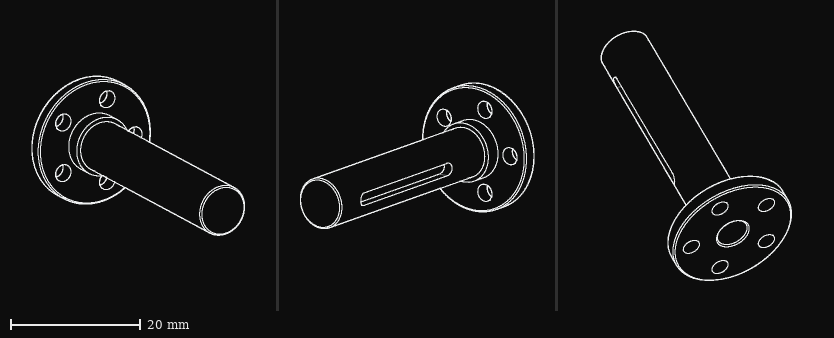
import cadquery as cq

total_length = 42.4

flange_diameter = 20.0
flange_thickness = 2.5
flange_chamfer = 0.25

hub_diameter = 9.4
hub_end = 2 * flange_thickness
shaft_diameter = 8.0
shaft_chamfer = 0.25

hole_count = 5
hole_diameter = 2.7
hole_circle_diameter = 14.0

slot_start = 13.5
slot_end = 37.23
slot_width = 2.0

bore_diameter = 5.0
bore_depth = slot_end
bore_chamfer = 0.25


def cylinder_along_x(diameter, length):
    """Solid cylinder from the flange face (X = 0) towards +X."""
    return cq.Workplane("YZ").circle(diameter / 2).extrude(length)


def make_body():
    flange = cylinder_along_x(flange_diameter, flange_thickness).edges().chamfer(flange_chamfer)
    hub = cylinder_along_x(hub_diameter, hub_end)
    shaft = cylinder_along_x(shaft_diameter, total_length).faces(">X").chamfer(shaft_chamfer)
    return flange.union(hub).union(shaft)


def make_mounting_holes():
    return (
        cq.Workplane("YZ")
        .polarArray(hole_circle_diameter / 2, 0, 360, hole_count)
        .circle(hole_diameter / 2)
        .extrude(flange_thickness)
    )


def make_bore():
    bore = cylinder_along_x(bore_diameter, bore_depth)
    mouth_radius = bore_diameter / 2 + bore_chamfer
    mouth = cq.Solid.makeCone(
        mouth_radius,
        bore_diameter / 2,
        bore_chamfer,
        pnt=cq.Vector(0, 0, 0),
        dir=cq.Vector(1, 0, 0),
    )
    return bore.union(cq.Workplane(mouth))


def make_slot():
    """Radial slot from the shaft axis out through the +Y wall, opening into the bore."""
    return (
        cq.Workplane("XZ")
        .center((slot_start + slot_end) / 2, 0)
        .slot2D(slot_end - slot_start, slot_width)
        .extrude(-shaft_diameter / 2)
    )


result = make_body().cut(make_mounting_holes()).cut(make_bore()).cut(make_slot())